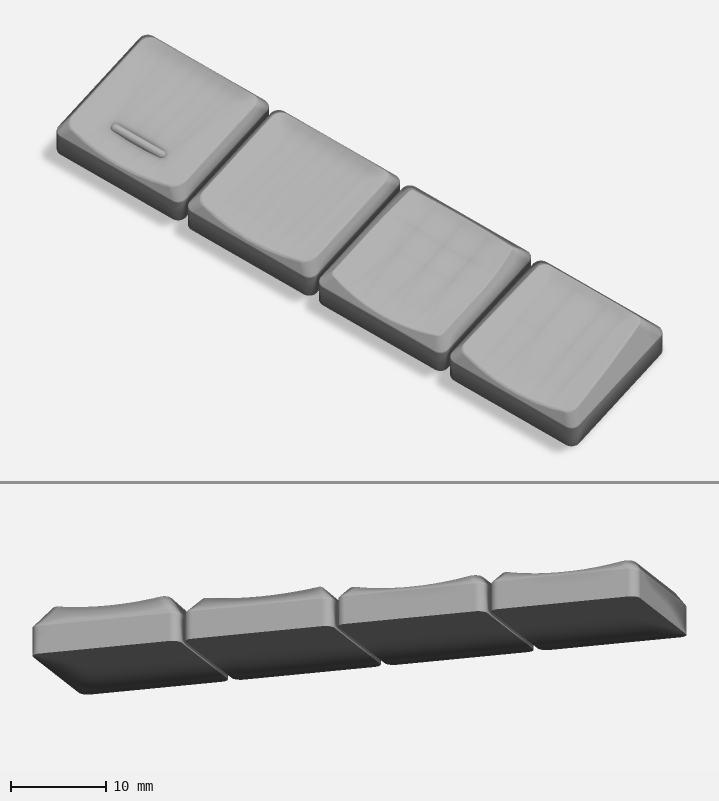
import cadquery as cq
import math


key_size = 16.5
key_pitch = 17.0
corner_radius = 1.0
skirt_height = 3.1
shoulder_round = 0.2

level_taper_height = 2.0
level_taper_lean = 35.0
level_top_corner_radius = 1.6
level_floor_z = 3.5
level_rim_round = 0.35

step_taper_height = 2.3
step_taper_lean = 43.0
step_top_corner_radius = 0.15
step_floor_z = 3.5
step_rim_round = 0.2
step_start_y = 0.0
step_sweep_radius = 34.0

ramp_taper_height = 3.5
ramp_taper_lean = 35.0
ramp_top_corner_radius = corner_radius
ramp_floor_z = 3.24
ramp_rim_round = 0.3
ramp_start_y = -18.0
ramp_sweep_radius = 180.0

dish_radius = 29.0
cutter_half_width = 11.0
cutter_length = 30.0
cutter_height = 8.0
dish_middle = 5.0

bar_length = 7.0
bar_radius = 0.5
bar_y = -4.3
bar_z = 3.55

tolerance = 1e-4


def rounded_square(size, radius, z=0.0):
    outline = cq.Sketch().rect(size, size).vertices().fillet(radius)
    return outline.moved(cq.Location(cq.Vector(0, 0, z)))


def key_blank(taper_height, lean, top_corner_radius):
    """Straight skirt with an inward-leaning upper part, centred on the Z axis."""
    top_size = key_size - 2 * taper_height * math.tan(math.radians(lean))
    skirt = cq.Workplane("XY").placeSketch(rounded_square(key_size, corner_radius)).extrude(skirt_height)
    upper = (
        cq.Workplane("XY")
        .placeSketch(
            rounded_square(key_size, corner_radius, skirt_height),
            rounded_square(top_size, top_corner_radius, skirt_height + taper_height),
        )
        .loft(ruled=True)
    )
    return skirt.union(upper)


def dish_section(y, floor_z):
    """Region above the side-to-side dish arc, in the XZ plane at the given Y."""
    edge_rise = dish_radius - math.sqrt(dish_radius**2 - cutter_half_width**2)
    edge_z = floor_z + edge_rise
    top_z = floor_z + cutter_height
    return (
        cq.Workplane("XZ", origin=(0, y, 0))
        .moveTo(-cutter_half_width, edge_z)
        .threePointArc((0, floor_z), (cutter_half_width, edge_z))
        .lineTo(cutter_half_width, top_z)
        .lineTo(-cutter_half_width, top_z)
        .close()
    )


def level_dish(rear_y, floor_z):
    """Cutter for a level dish that reaches forward from rear_y."""
    return dish_section(rear_y, floor_z).extrude(cutter_length)


def rising_dish(start_y, sweep_radius, floor_z):
    """Cutter for a dish that is level up to start_y and curves upward from there to the rear."""
    sweep_angle = math.degrees(math.asin(cutter_length / sweep_radius))
    axis_z = floor_z + sweep_radius
    rise = dish_section(start_y, floor_z).revolve(sweep_angle, (-1, axis_z, 0), (1, axis_z, 0))
    return level_dish(start_y, floor_z).union(rise)


def shoulder_edges(key):
    """Edges that lie level at the top of the skirt."""
    return key.edges("#Z").edges(
        cq.selectors.BoxSelector(
            (-key_size, -key_size, skirt_height - tolerance),
            (key_size, key_size, skirt_height + tolerance),
        )
    )


def rim_edges(key):
    """Edges around the dish: those that belong to only one of the faces cut by the dish."""
    dish_faces = key.faces(
        cq.selectors.BoxSelector(
            (-dish_middle, -dish_middle, skirt_height),
            (dish_middle, dish_middle, skirt_height + cutter_height),
        )
    )
    edges = [edge for face in dish_faces.vals() for edge in face.Edges()]
    return key.newObject([edge for edge in edges if sum(map(edge.isSame, edges)) == 1])


def finished_key(blank, dish, rim_round):
    """Blank with its dish cut and its shoulder and rim rounded."""
    key = blank.cut(dish)
    key = rim_edges(key).fillet(rim_round)
    return shoulder_edges(key).fillet(shoulder_round)


def homing_bar():
    """Round-ended rod lying across the floor of the dish."""
    half_straight = bar_length / 2 - bar_radius
    bar = (
        cq.Workplane("YZ", origin=(-half_straight, bar_y, bar_z))
        .circle(bar_radius)
        .extrude(2 * half_straight)
    )
    for end_x in (-half_straight, half_straight):
        bar = bar.union(cq.Workplane("XY", origin=(end_x, bar_y, bar_z)).sphere(bar_radius))
    return bar


level_blank = key_blank(level_taper_height, level_taper_lean, level_top_corner_radius)
step_blank = key_blank(step_taper_height, step_taper_lean, step_top_corner_radius)
ramp_blank = key_blank(ramp_taper_height, ramp_taper_lean, ramp_top_corner_radius)

level_cutter = level_dish(cutter_length / 2, level_floor_z)
step_cutter = rising_dish(step_start_y, step_sweep_radius, step_floor_z)
ramp_cutter = rising_dish(ramp_start_y, ramp_sweep_radius, ramp_floor_z)

level_key = finished_key(level_blank, level_cutter, level_rim_round)
homing_key = level_key.union(homing_bar())
stepped_key = finished_key(step_blank, step_cutter, step_rim_round)
ramped_key = finished_key(ramp_blank, ramp_cutter, ramp_rim_round)

row = [homing_key, level_key, stepped_key, ramped_key]
result = cq.Compound.makeCompound(
    [key.translate((place * key_pitch, 0, 0)).val() for place, key in enumerate(row)]
)